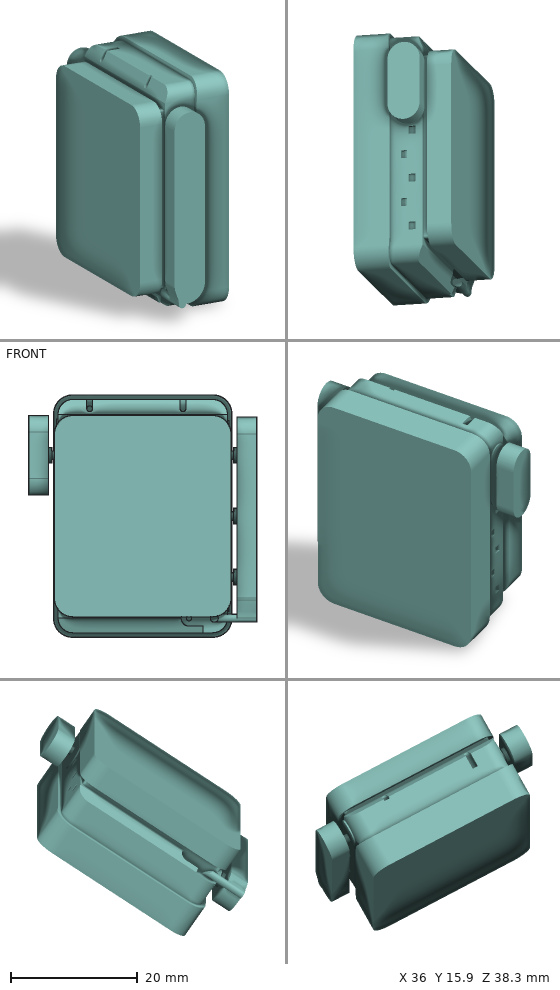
import cadquery as cq
import math


case_width = 28.15
case_height = 38.25
case_corner = 3.02
case_depth = 5.85
case_end_depth = 5.3
rim_curve_run = 5.35

body_inset = 0.73
body_width = case_width - 2 * body_inset
body_height = case_height - 2 * body_inset
body_corner = case_corner - body_inset
body_depth = 11.1
bevel_height = 2.35
bevel_depth = 1.1

neck_width = 25.83
neck_height = 29.75
neck_corner = 0.35
cover_width = 27.85
cover_height = 31.75
cover_corner = 2.87
cover_back_depth = 11.9
cover_depth = 15.88

overall_width = 36.0
key_thickness = 3.15
key_axis_depth = 9.15
post_spacing = 9.6
post_diameter = 1.4
collar_diameter = 2.5
collar_length = 0.55
seat_thickness = 0.23
seat_width = 4.05
seat_margin = 0.57
key_outer_x = overall_width / 2
key_inner_x = key_outer_x - key_thickness
left_key_width = 5.2
left_key_height = 12.55
right_key_width = 5.45
right_key_top = 15.65
right_key_taper_z = -12.9
right_key_round_drop = 0.35

rod_diameter = 1.25
rod_radius = rod_diameter / 2
rod_z = -16.1
rod_depth = body_depth - rod_radius
rod_end_x = 11.3
recess_width = 2.5
recess_floor_depth = 9.75
recess_end_x = 7.3
recess_open_x = 9.5
pin_hole_diameter = 0.85
pin_hole_depth = 0.75

groove_width = 0.9
groove_axis_z = 16.95
long_groove_x = -8.38
long_groove_depth = 7.65
short_groove_x = 6.35
short_groove_depth = 9.68
groove_hole_length = 1.53

window_height = 1.25
window_pitch = 3.9
first_window_z = 2.7
round_window_start = 8.8
round_window_radius = 0.57
step_window_start = 7.58
step_window_floor = 0.6
step_window_ledge = 0.3

cutter_reach = 7.65


def rounded_block(width, height, corner, back_depth, front_depth):
    return (
        cq.Workplane("XZ", origin=(0, -back_depth, 0))
        .rect(width, height)
        .extrude(front_depth - back_depth)
        .edges("|Y")
        .fillet(corner)
    )


def cut_both_ends(block, top_cutter):
    return block.cut(top_cutter).cut(top_cutter.mirror("XY"))


def rim_cutter():
    """Takes the top of the case rim back along an arc tangent to its flat front."""
    top = case_height / 2
    front = -case_depth
    return (
        cq.Workplane("YZ")
        .moveTo(front, 0)
        .lineTo(front, top - rim_curve_run)
        .tangentArcPoint((-case_end_depth, top), relative=False)
        .lineTo(front - cutter_reach, top)
        .lineTo(front - cutter_reach, 0)
        .close()
        .extrude(case_width, both=True)
    )


def bevel_cutter():
    """Takes the flat bevel off the top front edge of the body."""
    top = body_height / 2
    return (
        cq.Workplane("YZ")
        .moveTo(-body_depth, top - bevel_height)
        .lineTo(-(body_depth - bevel_depth), top)
        .lineTo(-body_depth, top)
        .close()
        .extrude(body_width, both=True)
    )


def upright_pill(x_start, x_end, width, height, z):
    """Vertical pill outline centred on the key axis, extruded along X."""
    return (
        cq.Workplane("YZ", origin=(x_start, -key_axis_depth, z))
        .slot2D(height, width, 90)
        .extrude(x_end - x_start)
    )


def x_cylinder(x_start, x_end, diameter, depth, z):
    return (
        cq.Workplane("YZ", origin=(x_start, -depth, z))
        .circle(diameter / 2)
        .extrude(x_end - x_start)
    )


def stepped_post(side, z):
    """Post with a collar against the key; side is -1 for left, +1 for right."""
    root = side * body_width / 2
    key_face = side * key_inner_x
    collar_face = side * (key_inner_x - collar_length)
    post = x_cylinder(root, key_face, post_diameter, key_axis_depth, z)
    return post.union(x_cylinder(collar_face, key_face, collar_diameter, key_axis_depth, z))


def seat(side, height, z):
    root = side * (body_width / 2 - seat_thickness)
    face = side * (body_width / 2 + seat_thickness)
    return upright_pill(root, face, seat_width, height, z)


def right_key():
    """Long key with a round top, tapering at the bottom into the cross rod."""
    radius = right_key_width / 2
    front = -(key_axis_depth + radius)
    back = -(key_axis_depth - radius)
    taper_top = right_key_taper_z
    rod_front = -rod_depth - rod_radius
    blend_angle = math.asin(right_key_round_drop / radius)
    blend_start = (-key_axis_depth - radius * math.cos(blend_angle), taper_top - right_key_round_drop)
    blend_direction = (math.sin(blend_angle), -math.cos(blend_angle))
    back_radius = taper_top - rod_z
    return (
        cq.Workplane("YZ", origin=(key_inner_x, 0, 0))
        .moveTo(back, taper_top)
        .lineTo(back, right_key_top - radius)
        .threePointArc((-key_axis_depth, right_key_top), (front, right_key_top - radius))
        .lineTo(front, taper_top)
        .tangentArcPoint(blend_start, relative=False)
        .spline([(rod_front, rod_z)], tangents=[blend_direction, (0, -1)], includeCurrent=True)
        .lineTo(back - back_radius, rod_z)
        .tangentArcPoint((back, taper_top), relative=False)
        .close()
        .extrude(key_thickness)
    )


def cross_rod():
    """Rod along the bottom of the right key and on into the recess, with a 45 degree mitred end."""
    tip = rod_end_x - rod_radius
    rod = x_cylinder(tip, key_outer_x, rod_diameter, rod_depth, rod_z)
    back = -rod_depth + rod_radius
    front = -rod_depth - rod_radius
    mitre = (
        cq.Workplane("XY", origin=(0, 0, rod_z))
        .polyline([(tip, back), (tip, front), (tip + rod_diameter, front)])
        .close()
        .extrude(rod_diameter, both=True)
    )
    return rod.cut(mitre)


def rod_recess():
    radius = recess_width / 2
    run_out = case_width / 2
    bottom = -case_height / 2
    outline = (
        cq.Workplane("XZ", origin=(0, -recess_floor_depth, 0))
        .moveTo(run_out, rod_z + radius)
        .lineTo(recess_end_x, rod_z + radius)
        .threePointArc((recess_end_x - radius, rod_z), (recess_end_x, rod_z - radius))
        .lineTo(recess_open_x, rod_z - radius)
        .lineTo(recess_open_x, bottom)
        .lineTo(run_out, bottom)
        .close()
    )
    pin_hole = (
        cq.Workplane("XZ", origin=(recess_end_x, -(recess_floor_depth - pin_hole_depth), rod_z))
        .circle(pin_hole_diameter / 2)
        .extrude(pin_hole_depth)
    )
    return outline.extrude(body_depth - recess_floor_depth).union(pin_hole)


def top_groove(x, start_depth):
    """Round-bottomed groove open to the top and running out through the bevel."""
    length = body_depth - start_depth
    plane = cq.Workplane("XZ", origin=(x, -start_depth, groove_axis_z))
    bottom = plane.circle(groove_width / 2).extrude(length)
    opening = plane.rect(groove_width, cutter_reach).extrude(length)
    return bottom.union(opening.translate((0, 0, cutter_reach / 2)))


def window_prism(profile, z):
    """Extrude a closed XY profile over one window height, centred on z."""
    return profile.close().extrude(window_height).translate((0, 0, z - window_height / 2))


def round_window(z):
    side = -body_width / 2
    floor = side + round_window_radius
    start = -round_window_start
    profile = (
        cq.Workplane("XY")
        .moveTo(side, start)
        .lineTo(floor, start)
        .lineTo(floor, start - round_window_radius)
        .tangentArcPoint((side, start - 2 * round_window_radius), relative=False)
    )
    return window_prism(profile, z)


def step_window(z):
    side = -body_width / 2
    start = -step_window_start
    step = start - step_window_floor
    profile = (
        cq.Workplane("XY")
        .moveTo(side, start)
        .lineTo(side + step_window_floor, start)
        .lineTo(side + step_window_floor, step)
        .lineTo(side + step_window_ledge, step)
        .lineTo(side + step_window_ledge, step - step_window_ledge)
        .lineTo(side, step - step_window_ledge)
    )
    return window_prism(profile, z)


case = rounded_block(case_width, case_height, case_corner, 0, case_depth)
case = cut_both_ends(case, rim_cutter())
body = rounded_block(body_width, body_height, body_corner, 0, body_depth)
body = cut_both_ends(body, bevel_cutter())
neck = rounded_block(neck_width, neck_height, neck_corner, body_depth, cover_back_depth)
cover = rounded_block(cover_width, cover_height, cover_corner, cover_back_depth, cover_depth)

left_seat_height = left_key_height - 2 * seat_margin
right_seat_height = 2 * (right_key_top - seat_margin)
body = body.union(seat(-1, left_seat_height, post_spacing)).union(seat(1, right_seat_height, 0))

body = body.cut(rod_recess())
body = body.cut(top_groove(long_groove_x, long_groove_depth))
body = body.cut(top_groove(short_groove_x, short_groove_depth))
groove_hole = (
    cq.Workplane("XZ", origin=(long_groove_x, -(long_groove_depth - groove_hole_length), groove_axis_z))
    .circle(groove_width / 2)
    .extrude(groove_hole_length)
)
body = body.cut(groove_hole)
for row, window in enumerate([round_window, step_window, round_window, step_window, round_window]):
    body = body.cut(window(first_window_z - row * window_pitch))

left_key = upright_pill(-key_outer_x, -key_inner_x, left_key_width, left_key_height, post_spacing)
result = body.union(case).union(neck).union(cover)
result = result.union(stepped_post(-1, post_spacing)).union(left_key)
for z in (-post_spacing, 0, post_spacing):
    result = result.union(stepped_post(1, z))
result = result.union(right_key()).union(cross_rod())